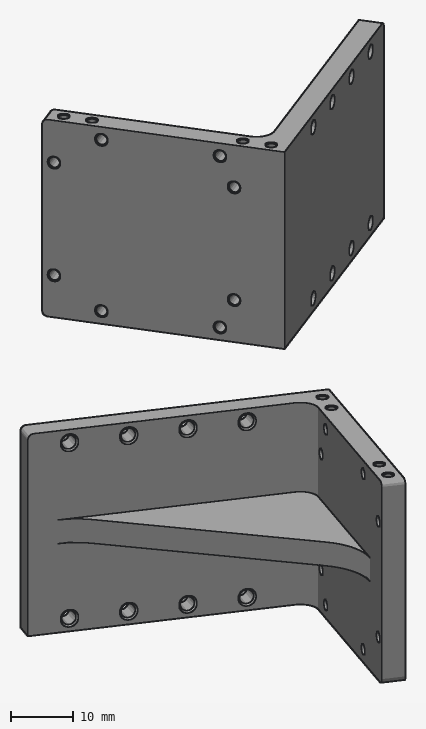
import cadquery as cq
import math

width = 41.0
length = 52
height = 35.0
plate = 4.0
corner_radius = 1.0
inner_radius = 3.0

rib_thickness = 4.1
rib_run = 25.0
rib_rise = 40.0
rib_blend_radius = 10.0

front_hole = 1.8
front_chamfer = 0.18
side_hole = 2.4
side_chamfer = 0.3
top_hole = 1.6
top_chamfer = 0.18
top_hole_depth = 5.0
drill_point_angle = 118

wide_pitch = 30.4
narrow_pitch = 20.0
front_across_x = 10.05
front_outer_x = 2.05
side_first_y = 15.05
side_pitch = 10.0
side_count = 4
top_first_x = 3.0
top_pitch = 30.25
top_pair_gap = 4.8

inner_x = width - plate
mid_z = height / 2
through_depth = plate + 0.5


def drill(point, direction, diameter, depth, chamfer):
    """Straight cutter with a 45 degree chamfer at the mouth."""
    start = cq.Vector(*point)
    axis = cq.Vector(*direction)
    hole = cq.Solid.makeCylinder(diameter / 2, depth, start, axis)
    mouth = cq.Solid.makeCone(diameter / 2 + chamfer, diameter / 2, chamfer, start, axis)
    return cq.Workplane(hole.fuse(mouth))


def make_plates():
    front = cq.Workplane().box(width, plate, height, centered=False)
    front = front.edges("|Y and <X").fillet(corner_radius)
    side = cq.Workplane().box(plate, length, height, centered=False).translate((inner_x, 0, 0))
    side = side.edges("|X and >Y and >Z").fillet(corner_radius)
    inner_corner = cq.selectors.NearestToPointSelector((inner_x, plate, mid_z))
    return front.union(side).edges(inner_corner).fillet(inner_radius)


def make_rib():
    """Gusset with arcs tangent to the sloped edge and to each plate, its back buried in the plates."""
    foot = cq.Vector(inner_x - rib_run, plate)
    tip = cq.Vector(inner_x, plate + rib_rise)
    slope = (tip - foot).normalized()
    foot_turn = math.atan2(rib_rise, rib_run)
    tip_turn = math.pi / 2 - foot_turn
    foot_tangent = rib_blend_radius * math.tan(foot_turn / 2)
    tip_tangent = rib_blend_radius * math.tan(tip_turn / 2)
    foot_start = foot - cq.Vector(foot_tangent, 0)
    slope_start = foot + slope * foot_tangent
    slope_end = tip - slope * tip_tangent
    tip_end = tip + cq.Vector(0, tip_tangent)
    buried_x = inner_x + plate / 2
    buried_y = plate / 2
    return (
        cq.Workplane(origin=(0, 0, mid_z - rib_thickness / 2))
        .moveTo(foot_start.x, foot_start.y)
        .radiusArc((slope_start.x, slope_start.y), -rib_blend_radius)
        .lineTo(slope_end.x, slope_end.y)
        .radiusArc((tip_end.x, tip_end.y), -rib_blend_radius)
        .lineTo(buried_x, tip_end.y)
        .lineTo(buried_x, buried_y)
        .lineTo(foot_start.x, buried_y)
        .close()
        .extrude(rib_thickness)
    )


def cut_front_holes(body):
    narrow_x = [front_across_x, front_across_x + narrow_pitch]
    wide_x = [front_outer_x, front_outer_x + wide_pitch]
    for columns, z_pitch in ((narrow_x, wide_pitch), (wide_x, narrow_pitch)):
        for x in columns:
            for z in (mid_z - z_pitch / 2, mid_z + z_pitch / 2):
                body = body.cut(drill((x, 0, z), (0, 1, 0), front_hole, through_depth, front_chamfer))
    return body


def cut_side_holes(body):
    for row in range(side_count):
        y = side_first_y + row * side_pitch
        for z in (mid_z - wide_pitch / 2, mid_z + wide_pitch / 2):
            body = body.cut(drill((inner_x, y, z), (1, 0, 0), side_hole, through_depth, side_chamfer))
    return body


def cut_top_holes(body):
    """Blind holes with drill points in the top edge of the front plate."""
    point_depth = top_hole / 2 / math.tan(math.radians(drill_point_angle / 2))
    for first_x in (top_first_x, top_first_x + top_pair_gap):
        for x in (first_x, first_x + top_pitch):
            body = body.cut(drill((x, plate / 2, height), (0, 0, -1), top_hole, top_hole_depth, top_chamfer))
            point = cq.Solid.makeCone(
                top_hole / 2, 0, point_depth,
                cq.Vector(x, plate / 2, height - top_hole_depth), cq.Vector(0, 0, -1),
            )
            body = body.cut(cq.Workplane(point))
    return body


result = make_plates().union(make_rib())
result = cut_front_holes(result)
result = cut_side_holes(result)
result = cut_top_holes(result)